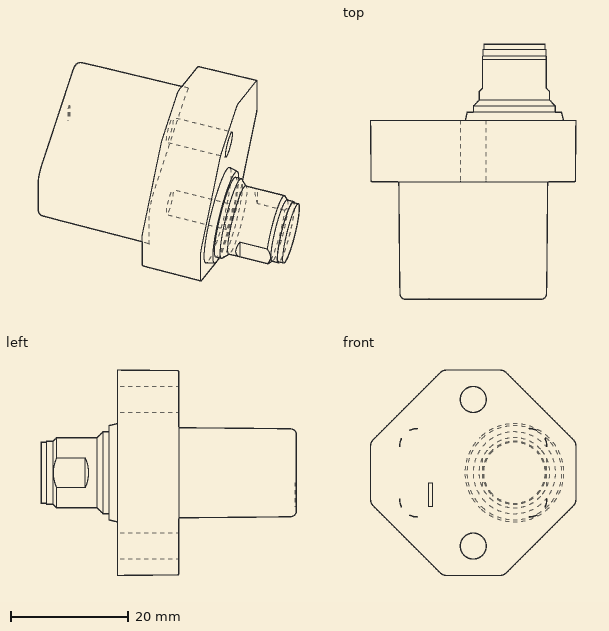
import cadquery as cq
import math


draft_angle = 0.5
cap_draft_angle = 1

flange_width = 35.0
flange_depth = 10.5
flange_flat = 10.35
flange_corner_radius = 1.5
flange_rim_radius = 0.25

hole_diameter = 4.4
hole_offset = 12.5

head_width = 24.95
head_height = 14.95
head_depth = 20
cap_depth = 4.1
head_corner_radius = 3.0
head_front_radius = 1.0
head_root_radius = 0.17

groove_width = 0.65
groove_length = 4.0
groove_depth = 0.2
groove_x = -7.3
groove_z = -3.75

connector_x = 7.0
connector_length = 13.0
collar_root_radius = 8.4
collar_end_radius = 8.05
collar_length = 1.45
shoulder_radius = 7.0
shoulder_end = 2.45
barrel_radius = 6.0
barrel_start = 3.5
barrel_end = 10.35
neck_radius = 5.4
neck_start = 10.95
neck_end = 12.1
tip_radius = 5.2

wrench_half_width = 5.45
wrench_start = 5.5

flange_front = -flange_depth
head_front = flange_front - head_depth


def rounded_block(front, depth, draft, growth):
    """Block extruded to +Y, widening with the draft, its front outline the head's offset by growth."""
    outline = (
        cq.Sketch()
        .rect(head_width + 2 * growth, head_height + 2 * growth)
        .vertices()
        .fillet(head_corner_radius + growth)
    )
    plane = cq.Plane(origin=(0, front, 0), xDir=(1, 0, 0), normal=(0, 1, 0))
    return cq.Workplane(plane).placeSketch(outline).extrude(depth, taper=-draft)


def make_flange():
    """Drafted octagon, widest at the back, with rounded corners and a rounded front rim."""
    half = flange_width / 2
    flat = flange_flat / 2
    corners = [
        (-flat, -half), (flat, -half), (half, -flat), (half, flat),
        (flat, half), (-flat, half), (-half, flat), (-half, -flat),
    ]
    octagon = cq.Workplane("XZ").polyline(corners).close().extrude(flange_depth, taper=draft_angle)
    octagon = octagon.edges("not(#Y)").fillet(flange_corner_radius)
    return octagon.faces("<Y").edges().fillet(flange_rim_radius)


def make_head():
    """Rounded cap continued by a less tapered block down to the flange."""
    cap = rounded_block(head_front, cap_depth, cap_draft_angle, 0)
    cap = cap.faces("<Y").edges().fillet(head_front_radius)
    cap_growth = cap_depth * math.tan(math.radians(cap_draft_angle))
    block = rounded_block(head_front + cap_depth, head_depth - cap_depth, draft_angle, cap_growth)
    return cap.union(block)


def fillet_head_root(body):
    """Round the inner corner where the head meets the flange."""
    flange_face = body.faces(cq.selectors.NearestToPointSelector((0, flange_front, 0)))
    root = flange_face.val().innerWires()[0].Edges()
    return body.newObject(root).fillet(head_root_radius)


def make_holes():
    """Two through holes, above and below the head."""
    return (
        cq.Workplane("XZ")
        .pushPoints([(0, hole_offset), (0, -hole_offset)])
        .circle(hole_diameter / 2)
        .extrude(flange_depth)
    )


def make_groove():
    """Shallow groove along Z with an arc-shaped section."""
    half = groove_width / 2
    return (
        cq.Workplane("XY", origin=(groove_x, head_front, groove_z - groove_length / 2))
        .moveTo(-half, 0)
        .threePointArc((0, groove_depth), (half, 0))
        .close()
        .extrude(groove_length)
    )


def make_connector():
    """Turned connector with two wrench flats facing -X and +X."""
    profile = [
        (0, 0),
        (collar_root_radius, 0),
        (collar_end_radius, collar_length),
        (shoulder_radius, collar_length),
        (shoulder_radius, shoulder_end),
        (barrel_radius, barrel_start),
        (barrel_radius, barrel_end),
        (neck_radius, neck_start),
        (neck_radius, neck_end),
        (tip_radius, neck_end),
        (tip_radius, connector_length),
        (0, connector_length),
    ]
    turned = cq.Workplane("XY").polyline(profile).close().revolve(360, (0, 0, 0), (0, 1, 0))

    runout = barrel_radius - wrench_half_width
    flat_section = [
        (wrench_half_width, wrench_start),
        (barrel_radius, wrench_start - runout),
        (barrel_radius, neck_start),
        (wrench_half_width, neck_start),
    ]
    flat = cq.Workplane("XY").polyline(flat_section).close().extrude(barrel_radius, both=True)
    turned = turned.cut(flat).cut(flat.mirror("YZ"))
    return turned.translate((connector_x, 0, 0))


body = make_flange().union(make_head())
body = fillet_head_root(body)
result = body.union(make_connector()).cut(make_holes()).cut(make_groove())